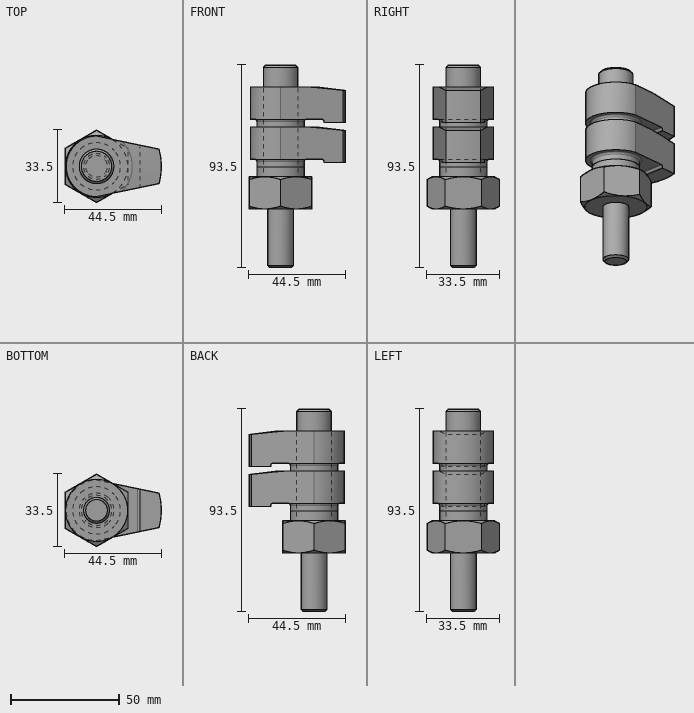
import cadquery as cq
import math

SPACER_HEIGHT = 4.5
HEX_HEIGHT = 15.0
STUD_LENGTH = 27.0
ARM_COUNT = 2
ARM_HEIGHT = 15.0
ARM_NECK_HEIGHT = 3.5
ARM_PITCH = ARM_HEIGHT + ARM_NECK_HEIGHT
PIN_EXPOSED_LENGTH = 10.0

SHAFT_DIAMETER = 16.0
SHAFT_CHAMFER = 1.0
STUD_DIAMETER = 12.0
STUD_CHAMFER = 1.0
HEX_ACROSS_FLATS = 29.0
HEX_ACROSS_CORNERS = HEX_ACROSS_FLATS / math.cos(math.radians(30))
HEX_CHAMFER_ANGLE = 30.0
HEX_FACE_DIAMETER = 28.75

NECK_DIAMETER = 22.0
ARM_HUB_RADIUS = 14.0
ARM_TIP_RADIUS = 30.0
ARM_TIP_HALF_WIDTH = 8.0
ARM_TOP_FLAT_RADIUS = 16.5
ARM_TOP_SLOPE_ANGLE = 7.0
NECK_FILLET = 1.0
PAD_START = 20.0
PAD_DEPTH = 1.5
PAD_FILLET = 1.0
CUT_MARGIN = 5.0


def make_hexagon():
    """Hexagonal flange with flats facing +X and -X and chamfered corners at both ends."""
    face_radius = HEX_FACE_DIAMETER / 2
    corner_radius = HEX_ACROSS_CORNERS / 2
    chamfer_height = (corner_radius - face_radius) * math.tan(math.radians(HEX_CHAMFER_ANGLE))

    prism = (
        cq.Workplane("XY")
        .transformed(rotate=(0, 0, 30))
        .polygon(6, HEX_ACROSS_CORNERS)
        .extrude(-HEX_HEIGHT)
    )
    corner_trim = (
        cq.Workplane("XZ")
        .lineTo(face_radius, 0)
        .lineTo(corner_radius, -chamfer_height)
        .lineTo(corner_radius, chamfer_height - HEX_HEIGHT)
        .lineTo(face_radius, -HEX_HEIGHT)
        .lineTo(0, -HEX_HEIGHT)
        .close()
        .revolve(360, (0, 0, 0), (0, 1, 0))
    )
    return prism.intersect(corner_trim)


def make_hex_pin():
    """Pin shaft above the hexagonal flange and mounting stud below it, in one piece."""
    shaft_length = SPACER_HEIGHT + ARM_COUNT * ARM_PITCH + PIN_EXPOSED_LENGTH
    shaft = cq.Workplane("XY").circle(SHAFT_DIAMETER / 2).extrude(shaft_length)
    shaft = shaft.faces(">Z").chamfer(SHAFT_CHAMFER)
    stud = cq.Workplane("XY").circle(STUD_DIAMETER / 2).extrude(-(HEX_HEIGHT + STUD_LENGTH))
    stud = stud.faces("<Z").chamfer(STUD_CHAMFER)
    return make_hexagon().union(shaft).union(stud)


def make_spacer():
    """Plain ring between the hexagonal flange and the lowest arm."""
    return (
        cq.Workplane("XY")
        .circle(NECK_DIAMETER / 2)
        .circle(SHAFT_DIAMETER / 2)
        .extrude(SPACER_HEIGHT)
    )


def make_arm_blank():
    """Tapered arm: round hub, straight sides and a tip arc about the hub axis."""
    tip_corner_x = math.sqrt(ARM_TIP_RADIUS**2 - ARM_TIP_HALF_WIDTH**2)
    return (
        cq.Workplane("XY")
        .moveTo(0, ARM_HUB_RADIUS)
        .threePointArc((-ARM_HUB_RADIUS, 0), (0, -ARM_HUB_RADIUS))
        .lineTo(tip_corner_x, -ARM_TIP_HALF_WIDTH)
        .threePointArc((ARM_TIP_RADIUS, 0), (tip_corner_x, ARM_TIP_HALF_WIDTH))
        .close()
        .extrude(ARM_HEIGHT + PAD_DEPTH)
        .translate((0, 0, -PAD_DEPTH))
    )


def make_pad_relief():
    """Region below the arm's underside that is cleared to leave the clamping pad at the tip."""
    reach = ARM_HUB_RADIUS + CUT_MARGIN
    return (
        cq.Workplane("XZ")
        .moveTo(-reach, 0)
        .lineTo(PAD_START - PAD_FILLET, 0)
        .radiusArc((PAD_START, -PAD_FILLET), PAD_FILLET)
        .lineTo(PAD_START, -PAD_DEPTH - CUT_MARGIN)
        .lineTo(-reach, -PAD_DEPTH - CUT_MARGIN)
        .close()
        .extrude(reach, both=True)
    )


def make_top_slope():
    """Ring above the conical top face that falls from the flat hub to the tip."""
    outer_radius = ARM_TIP_RADIUS + CUT_MARGIN
    outer_drop = (outer_radius - ARM_TOP_FLAT_RADIUS) * math.tan(math.radians(ARM_TOP_SLOPE_ANGLE))
    return (
        cq.Workplane("XZ")
        .moveTo(ARM_TOP_FLAT_RADIUS, ARM_HEIGHT)
        .lineTo(outer_radius, ARM_HEIGHT - outer_drop)
        .lineTo(outer_radius, ARM_HEIGHT + CUT_MARGIN)
        .lineTo(ARM_TOP_FLAT_RADIUS, ARM_HEIGHT + CUT_MARGIN)
        .close()
        .revolve(360, (0, 0, 0), (0, 1, 0))
    )


def make_neck():
    """Round neck under the hub, flared into the underside by a fillet."""
    neck_radius = NECK_DIAMETER / 2
    return (
        cq.Workplane("XZ")
        .lineTo(neck_radius + NECK_FILLET, 0)
        .radiusArc((neck_radius, -NECK_FILLET), -NECK_FILLET)
        .lineTo(neck_radius, -ARM_NECK_HEIGHT)
        .lineTo(0, -ARM_NECK_HEIGHT)
        .close()
        .revolve(360, (0, 0, 0), (0, 1, 0))
    )


def make_arm(underside_z):
    """Clamping arm with its flat underside at the given height."""
    bore = (
        cq.Workplane("XY", origin=(0, 0, -ARM_NECK_HEIGHT))
        .circle(SHAFT_DIAMETER / 2)
        .extrude(ARM_PITCH)
    )
    arm = make_arm_blank().cut(make_pad_relief()).cut(make_top_slope())
    arm = arm.union(make_neck()).cut(bore)
    return arm.translate((0, 0, underside_z))


hex_pin = make_hex_pin()
spacer = make_spacer()
lowest_underside = SPACER_HEIGHT + ARM_NECK_HEIGHT
arms = [make_arm(lowest_underside + index * ARM_PITCH) for index in range(ARM_COUNT)]

result = cq.Compound.makeCompound(
    [hex_pin.solids().val(), spacer.val(), *[arm.solids().val() for arm in arms]]
)